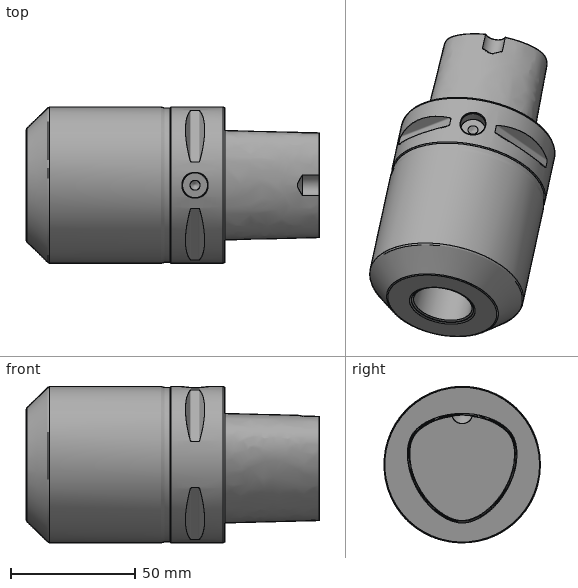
import cadquery as cq
import math

LENGTH = 118.0
BODY_RADIUS = 31.5
FLANGE_FACE_X = 80.0

NOSE_RADIUS = 22.9
NOSE_EDGE_LENGTH = 0.2
NOSE_EDGE_DROP = 0.6
CONE_END_X = 8.7
CONE_END_RADIUS = 31.2
BODY_START_X = 9.4

GROOVE_RADIUS = 62.2 / 2
GROOVE_START_X = 54.4
GROOVE_END_X = 58.3
GROOVE_ENTRY_SLOPE = 1.4
GROOVE_EXIT_SLOPE = 0.41

FLANGE_EDGE_LENGTH = 0.7
FLANGE_EDGE_DROP = 0.4

BORE_RADIUS = 24.0 / 2
BORE_DEPTH = 49.6
MOUTH_RADIUS = 25.5 / 2
MOUTH_INNER_RADIUS = 25.0 / 2
MOUTH_DEPTH = 0.6
MOUTH_INNER_DEPTH = 0.7
BORE_START_X = 1.0
MOUTH_CHAMFER_DEPTH = 0.4
MOUTH_CHAMFER_WIDTH = 0.7

SHANK_RADIUS = 22.1
SHANK_LOBE = 1.4
SHANK_TAPER = 1 / 40
LOBES = 3
PROFILE_POINTS = 48

SLOT_X = 68.0
SLOT_COUNT = 4
SLOT_FLOOR_RADIUS = 27.8
SLOT_FLOOR_WIDTH = 3.5
SLOT_WALL_ANGLE = 30.0
SLOT_CORNER_RADIUS = 0.7

HOLE_RADIUS = 10.0 / 2
HOLE_DEPTH = 5.0
HOLE_CHAMFER = 0.3
DIMPLE_RADIUS = 4.0 / 2
DRILL_HALF_ANGLE = math.radians(59)

NOTCH_RADIUS = 4.2
NOTCH_START_X = 111.2
NOTCH_AXIS_Z = 20.8


def make_body():
    """Body and flange, turned about the X axis."""
    outline = [
        (0, 0),
        (0, NOSE_RADIUS - NOSE_EDGE_DROP),
        (NOSE_EDGE_LENGTH, NOSE_RADIUS),
        (CONE_END_X, CONE_END_RADIUS),
        (BODY_START_X, BODY_RADIUS),
        (GROOVE_START_X, BODY_RADIUS),
        (GROOVE_START_X + GROOVE_ENTRY_SLOPE, GROOVE_RADIUS),
        (GROOVE_END_X - GROOVE_EXIT_SLOPE, GROOVE_RADIUS),
        (GROOVE_END_X, BODY_RADIUS),
        (FLANGE_FACE_X - FLANGE_EDGE_LENGTH, BODY_RADIUS),
        (FLANGE_FACE_X, BODY_RADIUS - FLANGE_EDGE_DROP),
        (FLANGE_FACE_X, 0),
    ]
    return cq.Workplane("XY").polyline(outline).close().revolve(360, (0, 0, 0), (1, 0, 0))


def make_bore():
    """Blind bore with a chamfered mouth that narrows in short steps to the bore size."""
    outline = [
        (0, 0),
        (0, MOUTH_RADIUS + MOUTH_CHAMFER_WIDTH),
        (MOUTH_CHAMFER_DEPTH, MOUTH_RADIUS),
        (MOUTH_DEPTH, MOUTH_RADIUS),
        (MOUTH_INNER_DEPTH, MOUTH_INNER_RADIUS),
        (BORE_START_X, BORE_RADIUS),
        (BORE_DEPTH, BORE_RADIUS),
        (BORE_DEPTH, 0),
    ]
    return cq.Workplane("XY").polyline(outline).close().revolve(360, (0, 0, 0), (1, 0, 0))


def shank_section(x):
    """Closed three-lobed wire of constant width, with one lobe pointing to -Z."""
    radius = SHANK_RADIUS - SHANK_TAPER * (x - FLANGE_FACE_X)
    points = []
    for i in range(PROFILE_POINTS):
        angle = 2 * math.pi * i / PROFILE_POINTS
        reach = radius + SHANK_LOBE * math.cos(LOBES * angle)
        slide = -LOBES * SHANK_LOBE * math.sin(LOBES * angle)
        y = reach * math.sin(angle) + slide * math.cos(angle)
        z = -reach * math.cos(angle) + slide * math.sin(angle)
        points.append(cq.Vector(x, y, z))
    edge = cq.Edge.makeSpline(points, periodic=True)
    return cq.Wire.assembleEdges([edge])


def make_shank():
    sections = [shank_section(FLANGE_FACE_X), shank_section(LENGTH)]
    return cq.Workplane(cq.Solid.makeLoft(sections, True))


def make_slot():
    """Straight slot across the top of the flange, with sloping walls and rounded floor corners."""
    height = BODY_RADIUS - SLOT_FLOOR_RADIUS + 1.2
    half_floor = SLOT_FLOOR_WIDTH / 2
    half_top = half_floor + height * math.tan(math.radians(SLOT_WALL_ANGLE))
    outline = [
        (SLOT_X - half_floor, SLOT_FLOOR_RADIUS),
        (SLOT_X + half_floor, SLOT_FLOOR_RADIUS),
        (SLOT_X + half_top, SLOT_FLOOR_RADIUS + height),
        (SLOT_X - half_top, SLOT_FLOOR_RADIUS + height),
    ]
    slot = cq.Workplane("XZ").polyline(outline).close().extrude(BODY_RADIUS, both=True)
    return slot.edges("|Y and <Z").fillet(SLOT_CORNER_RADIUS)


def make_marking_hole():
    """Flat-bottomed radial hole with a chamfered rim and a conical dimple in its floor."""
    floor_z = BODY_RADIUS - HOLE_DEPTH
    tip_z = floor_z - DIMPLE_RADIUS / math.tan(DRILL_HALF_ANGLE)
    rim_radius = HOLE_RADIUS + HOLE_CHAMFER
    outline = [
        (0, tip_z),
        (DIMPLE_RADIUS, floor_z),
        (HOLE_RADIUS, floor_z),
        (HOLE_RADIUS, BODY_RADIUS - 2 * HOLE_CHAMFER),
        (rim_radius, BODY_RADIUS - HOLE_CHAMFER),
        (rim_radius, BODY_RADIUS),
        (0, BODY_RADIUS),
    ]
    hole = cq.Workplane("XZ").polyline(outline).close().revolve(360, (0, 0, 0), (0, 1, 0))
    return hole.translate((SLOT_X, 0, 0))


def make_notch():
    """Drill-shaped cut along X that opens the top of the shank end."""
    tip_x = NOTCH_START_X - NOTCH_RADIUS / math.tan(DRILL_HALF_ANGLE)
    outline = [
        (tip_x, 0),
        (NOTCH_START_X, NOTCH_RADIUS),
        (LENGTH, NOTCH_RADIUS),
        (LENGTH, 0),
    ]
    notch = cq.Workplane("XY").polyline(outline).close().revolve(360, (0, 0, 0), (1, 0, 0))
    return notch.translate((0, 0, NOTCH_AXIS_Z))


result = make_body().union(make_shank()).cut(make_bore())

slot = make_slot()
slot_step = 360 / SLOT_COUNT
for i in range(SLOT_COUNT):
    result = result.cut(slot.rotate((0, 0, 0), (1, 0, 0), slot_step * (i + 0.5)))

result = result.cut(make_marking_hole()).cut(make_notch())